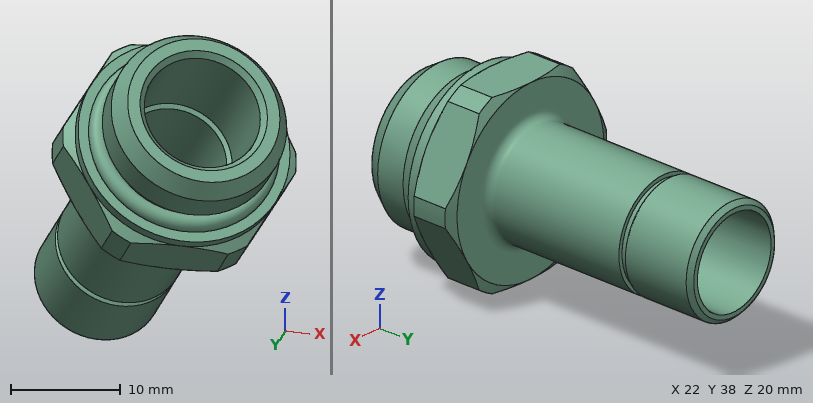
import cadquery as cq

total_length = 38.0

thread_radius = 8.3
thread_tip_radius = 7.2
thread_chamfer_end = 1.7
thread_end = 4.83
relief_radius = 7.3
relief_start = thread_end + thread_radius - relief_radius

ring_radius = 9.0
ring_section_radius = 0.87

across_flats = 20.0
flange_radius = across_flats / 2
flange_start = 7.0
hex_start = 8.0
hex_end = 13.0
hex_corner_radius = 11.0
hex_chamfer_length = 0.57

tube_radius = 6.0
tube_fillet = 1.0
tube_chamfer = 0.5
groove_radius = 5.6
groove_start = 29.25
groove_floor_end = 29.83
groove_end = 30.05

bore_radius = 5.0
wide_bore_radius = 5.47
mouth_radius = tube_radius
mouth_depth = mouth_radius - wide_bore_radius
wide_bore_end = (hex_start + hex_end) / 2
bore_taper_length = 0.2


def turned(points):
    """Solid of revolution about Y under a profile of (radius, y) points."""
    profile = [(0, points[0][1])] + points + [(0, points[-1][1])]
    return cq.Workplane("XY").polyline(profile).close().revolve(360, (0, 0), (0, 1))


def threaded_end():
    return turned([
        (thread_tip_radius, 0),
        (thread_radius, thread_chamfer_end),
        (thread_radius, thread_end),
        (relief_radius, relief_start),
        (relief_radius, flange_start),
    ])


def sealing_ring():
    section_center = ring_radius - ring_section_radius
    inner_radius = section_center - ring_section_radius
    return (
        cq.Workplane("XY")
        .moveTo(ring_radius, flange_start)
        .threePointArc(
            (section_center, flange_start - ring_section_radius),
            (inner_radius, flange_start),
        )
        .close()
        .revolve(360, (0, 0), (0, 1))
    )


def flange():
    return turned([(flange_radius, flange_start), (flange_radius, hex_start)])


def hexagon():
    prism = (
        cq.Workplane("XZ", origin=(0, hex_end, 0))
        .polygon(6, across_flats, circumscribed=True)
        .extrude(hex_end - hex_start)
        .rotate((0, 0, 0), (0, 1, 0), 30)
    )
    envelope = turned([
        (flange_radius, hex_start),
        (hex_corner_radius, hex_start + hex_chamfer_length),
        (hex_corner_radius, hex_end - hex_chamfer_length),
        (flange_radius, hex_end),
    ])
    return prism.intersect(envelope)


def tube():
    return turned([
        (tube_radius, hex_end),
        (tube_radius, groove_start),
        (groove_radius, groove_start),
        (groove_radius, groove_floor_end),
        (tube_radius, groove_end),
        (tube_radius, total_length - tube_chamfer),
        (tube_radius - tube_chamfer, total_length),
    ])


def tube_root_fillet():
    fillet_end = hex_end + tube_fillet
    diagonal = tube_fillet * (1 - 0.5 ** 0.5)
    return (
        cq.Workplane("XY")
        .moveTo(0, hex_end)
        .lineTo(tube_radius + tube_fillet, hex_end)
        .threePointArc((tube_radius + diagonal, hex_end + diagonal), (tube_radius, fillet_end))
        .lineTo(0, fillet_end)
        .close()
        .revolve(360, (0, 0), (0, 1))
    )


def bore():
    return turned([
        (mouth_radius, 0),
        (wide_bore_radius, mouth_depth),
        (wide_bore_radius, wide_bore_end),
        (bore_radius, wide_bore_end + bore_taper_length),
        (bore_radius, total_length),
    ])


body = threaded_end().union(sealing_ring()).union(flange()).union(hexagon())
body = body.union(tube()).union(tube_root_fillet())
result = body.cut(bore())